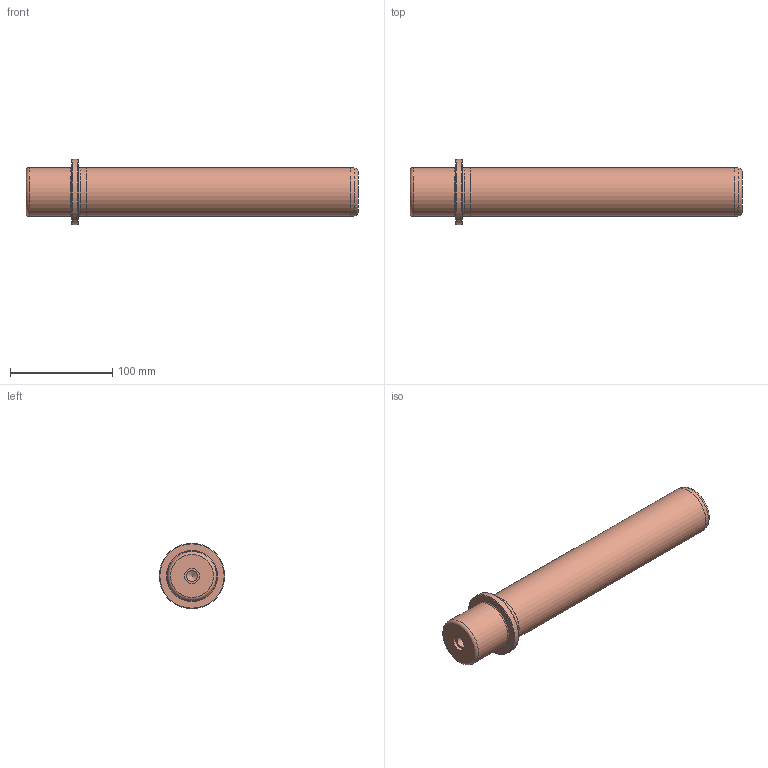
import cadquery as cq
import math

shaft_length = 325.0
shaft_radius = 24.0
front_edge_radius = 3.0

lead_in_length = 7.0
lead_in_taper_length = 4.0
lead_in_drop = 0.6
rear_edge_radius = lead_in_length - lead_in_taper_length

collar_start = 44.7
collar_width = 6.3
collar_end = collar_start + collar_width
collar_radius = 32.0
collar_edge_chamfer = 0.5
front_root_radius = 1.0

neck_end = 59.5
neck_radius = 23.8
rear_root_radius = 1.9

counterbore_radius = 7.5
counterbore_depth = 3.0
bore_radius = 5.5
bore_depth = 25.0
drill_point_angle = 118.0


def arc_mid_offset(radius):
    """Distance from the corner lines of a quarter round to its middle point."""
    return radius * (1 - math.sqrt(0.5))


def revolve_about_x(profile):
    return profile.close().revolve(360, (0, 0, 0), (1, 0, 0))


def make_body():
    """Shaft, collar and neck, turned from one half profile."""
    front_mid = arc_mid_offset(front_edge_radius)
    front_root_mid = arc_mid_offset(front_root_radius)
    rear_root_mid = arc_mid_offset(rear_root_radius)
    rear_mid = arc_mid_offset(rear_edge_radius)
    rear_radius = shaft_radius - lead_in_drop
    collar_shoulder = collar_radius - collar_edge_chamfer

    profile = (
        cq.Workplane("XY")
        .lineTo(0, shaft_radius - front_edge_radius)
        .threePointArc((front_mid, shaft_radius - front_mid), (front_edge_radius, shaft_radius))
        .lineTo(collar_start - front_root_radius, shaft_radius)
        .threePointArc(
            (collar_start - front_root_mid, shaft_radius + front_root_mid),
            (collar_start, shaft_radius + front_root_radius),
        )
        .lineTo(collar_start, collar_shoulder)
        .lineTo(collar_start + collar_edge_chamfer, collar_radius)
        .lineTo(collar_end - collar_edge_chamfer, collar_radius)
        .lineTo(collar_end, collar_shoulder)
        .lineTo(collar_end, neck_radius + rear_root_radius)
        .threePointArc(
            (collar_end + rear_root_mid, neck_radius + rear_root_mid),
            (collar_end + rear_root_radius, neck_radius),
        )
        .lineTo(neck_end, neck_radius)
        .lineTo(neck_end, shaft_radius)
        .lineTo(shaft_length - lead_in_length, shaft_radius)
        .lineTo(shaft_length - rear_edge_radius, rear_radius)
        .threePointArc(
            (shaft_length - rear_mid, rear_radius - rear_mid),
            (shaft_length, rear_radius - rear_edge_radius),
        )
        .lineTo(shaft_length, 0)
    )
    return revolve_about_x(profile)


def make_centre_hole():
    point_length = bore_radius / math.tan(math.radians(drill_point_angle / 2))
    profile = (
        cq.Workplane("XY")
        .lineTo(0, counterbore_radius)
        .lineTo(counterbore_depth, counterbore_radius)
        .lineTo(counterbore_depth, bore_radius)
        .lineTo(bore_depth, bore_radius)
        .lineTo(bore_depth + point_length, 0)
    )
    return revolve_about_x(profile)


result = make_body().cut(make_centre_hole())